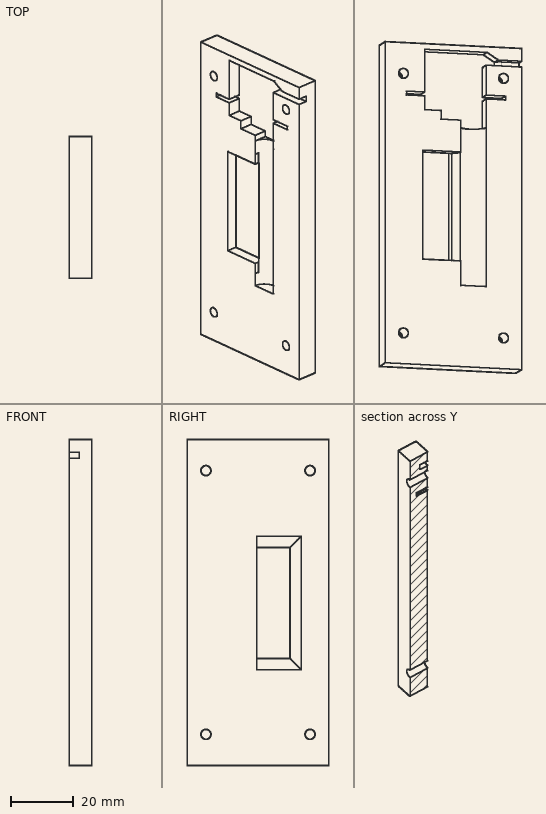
import cadquery as cq
import math

thickness = 7.2
width = 45.2
height = 104.0

hole_diameter = 3.1
hole_side_inset = 6.0
hole_end_inset = 10.0

groove_radius = 4.2
groove_center_y = 16.0
groove_left_y = groove_center_y + groove_radius
groove_right_y = groove_center_y - groove_radius
groove_top_z = 77.8
groove_bottom_z = 26.3

pocket_depth = 4.5
pocket_left_y = 32.1
pocket_top_z = 102.1
pocket_slope_start_y = 11.5
first_step_z = 82.6
first_step_y = 26.7
second_step_z = 79.8

cross_slot_left_y = 38.2
cross_slot_right_y = 5.4
cross_slot_bottom_z = 87.0
cross_slot_height = 1.2

channel_depth = 3.1
channel_mouth_y = 7.8
channel_bottom_z = 98.0
channel_height = 1.9
lip_radius = 2.0

window_left_y = 32.8
window_bottom_z = 34.2
window_height = 35.3
window_throat_y = 22.3
relief_width = 0.24
relief_edge_y = groove_left_y - relief_width
relief_depth = math.sqrt(groove_radius**2 - (groove_radius - relief_width) ** 2)
throat_depth = thickness / 2
flare = thickness - throat_depth


def block(depth, y_low, y_high, z_low, z_high):
    """Box sunk from the front face to the given depth."""
    size = (depth, y_high - y_low, z_high - z_low)
    return cq.Workplane("XY").box(*size, centered=False).translate((0, y_low, z_low))


def mounting_holes():
    points = [
        (y, z)
        for y in (hole_side_inset, width - hole_side_inset)
        for z in (hole_end_inset, height - hole_end_inset)
    ]
    return cq.Workplane("YZ").pushPoints(points).circle(hole_diameter / 2).extrude(thickness)


def pocket():
    outline = [
        (pocket_left_y, pocket_top_z),
        (pocket_slope_start_y, pocket_top_z),
        (channel_mouth_y, channel_bottom_z + channel_height),
        (channel_mouth_y, channel_bottom_z),
        (groove_right_y, channel_bottom_z),
        (groove_right_y, groove_top_z),
        (groove_left_y, groove_top_z),
        (groove_left_y, second_step_z),
        (first_step_y, second_step_z),
        (first_step_y, first_step_z),
        (pocket_left_y, first_step_z),
    ]
    body = cq.Workplane("YZ").polyline(outline).close().extrude(pocket_depth)
    cross_slot = block(
        pocket_depth,
        cross_slot_right_y,
        cross_slot_left_y,
        cross_slot_bottom_z,
        cross_slot_bottom_z + cross_slot_height,
    )
    return body.union(cross_slot)


def channel():
    lip_drop = pocket_depth - channel_depth
    lip_run = math.sqrt(lip_radius**2 - (lip_radius - lip_drop) ** 2)
    return (
        cq.Workplane("XY", origin=(0, 0, channel_bottom_z))
        .lineTo(channel_depth, 0)
        .lineTo(channel_depth, channel_mouth_y - lip_run)
        .radiusArc((pocket_depth, channel_mouth_y), lip_radius)
        .lineTo(0, channel_mouth_y)
        .close()
        .extrude(channel_height)
    )


def groove():
    return (
        cq.Workplane("XY", origin=(0, groove_center_y, groove_bottom_z))
        .circle(groove_radius)
        .extrude(groove_top_z - groove_bottom_z)
    )


def window():
    section = [
        (0, window_left_y),
        (throat_depth, window_left_y),
        (throat_depth, window_throat_y),
        (relief_depth, relief_edge_y),
        (0, relief_edge_y),
    ]
    front = (
        cq.Workplane("XY", origin=(0, 0, window_bottom_z))
        .polyline(section)
        .close()
        .extrude(window_height)
    )
    window_top_z = window_bottom_z + window_height
    relief = block(
        relief_depth,
        relief_edge_y,
        groove_left_y,
        window_bottom_z - flare,
        window_top_z + flare,
    )
    throat_width = window_left_y - window_throat_y
    throat_center = (throat_depth, window_throat_y + throat_width / 2, window_bottom_z + window_height / 2)
    rear = (
        cq.Workplane("YZ", origin=throat_center)
        .rect(throat_width, window_height)
        .workplane(offset=flare)
        .center(flare / 2, 0)
        .rect(throat_width + flare, window_height + 2 * flare)
        .loft(ruled=True)
    )
    return front.union(relief).union(rear)


plate = block(thickness, 0, width, 0, height)
result = plate.cut(mounting_holes()).cut(pocket()).cut(channel()).cut(groove()).cut(window())